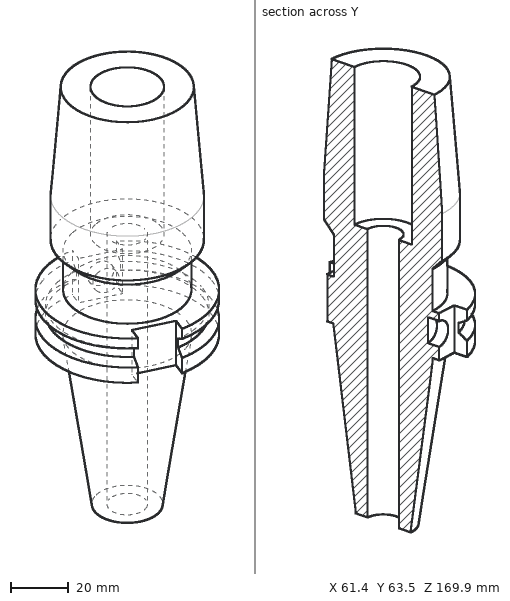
import cadquery as cq
import math

gauge_diameter = 44.45
taper_length = 68.25
taper_ratio = 7 / 24

flange_diameter = 63.5
flange_bottom = 1.0
flange_top = 19.05
groove_height = 11.1
groove_floor_diameter = 56.36
groove_floor_width = 3.6
groove_flank_angle = 30.0

slot_width = 16.38
slot_floor_x = 25.0
dimple_diameter = 9.7
dimple_depth = 5.0

neck_diameter = 44.3
neck_top = 35.0
head_diameter = 53.0
head_cone_top = 39.4
head_cylinder_top = 57.4
nose_diameter = 46.0
total_length = 169.85

through_bore_diameter = 14.0
tool_bore_diameter = 25.4
tool_bore_depth = 60.0

nose_height = total_length - taper_length
taper_end_diameter = gauge_diameter - taper_length * taper_ratio
flank_depth = (flange_diameter - groove_floor_diameter) / 2
flank_height = flank_depth * math.tan(math.radians(groove_flank_angle))
groove_floor_bottom = groove_height - groove_floor_width / 2
groove_floor_top = groove_height + groove_floor_width / 2


def make_body():
    """Revolve the outer profile, given as (radius, height), about Z."""
    profile = [
        (0, -taper_length),
        (taper_end_diameter / 2, -taper_length),
        (gauge_diameter / 2, 0),
        (gauge_diameter / 2, flange_bottom),
        (flange_diameter / 2, flange_bottom),
        (flange_diameter / 2, groove_floor_bottom - flank_height),
        (groove_floor_diameter / 2, groove_floor_bottom),
        (groove_floor_diameter / 2, groove_floor_top),
        (flange_diameter / 2, groove_floor_top + flank_height),
        (flange_diameter / 2, flange_top),
        (neck_diameter / 2, flange_top),
        (neck_diameter / 2, neck_top),
        (head_diameter / 2, head_cone_top),
        (head_diameter / 2, head_cylinder_top),
        (nose_diameter / 2, nose_height),
        (0, nose_height),
    ]
    return cq.Workplane("XZ").polyline(profile).close().revolve(360, (0, 0), (0, 1))


def make_drive_slot(side):
    """Cutter for the slot on the side of X given by the sign."""
    radial_length = flange_diameter / 2
    height = flange_top - flange_bottom
    return (
        cq.Workplane("XY")
        .box(radial_length, slot_width, height, centered=(True, True, False))
        .translate((side * (slot_floor_x + radial_length / 2), 0, flange_bottom))
    )


def make_dimple():
    """Cutter for the blind round hole in the floor of the -X slot."""
    return (
        cq.Workplane("YZ", origin=(-slot_floor_x, 0, 0))
        .center(0, groove_height)
        .circle(dimple_diameter / 2)
        .extrude(dimple_depth)
    )


def make_bores():
    """Cutter for the through bore and the wider tool bore at the nose."""
    through_bore = (
        cq.Workplane("XY", origin=(0, 0, -taper_length))
        .circle(through_bore_diameter / 2)
        .extrude(total_length)
    )
    tool_bore = (
        cq.Workplane("XY", origin=(0, 0, nose_height))
        .circle(tool_bore_diameter / 2)
        .extrude(-tool_bore_depth)
    )
    return through_bore.union(tool_bore)


result = make_body()
for side in (-1, 1):
    result = result.cut(make_drive_slot(side))
result = result.cut(make_dimple())
result = result.cut(make_bores())